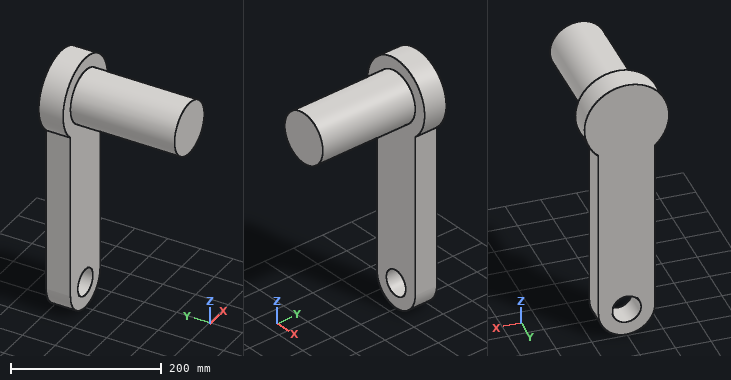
import cadquery as cq

total_height = 393.5
total_depth = 196.5
head_diameter = 119.0
arm_width = 79.5
arm_thickness = 37.5
pin_diameter = arm_width
hole_diameter = 40.0

hole_distance = total_height - head_diameter / 2 - arm_width / 2
pin_length = total_depth - arm_thickness


def cylinder_along_y(diameter, length, z=0.0):
    """Cylinder from Y = 0; positive lengths run toward -Y."""
    return cq.Workplane("XZ").center(0, z).circle(diameter / 2).extrude(length)


head = cylinder_along_y(head_diameter, -arm_thickness)
rounded_end = cylinder_along_y(arm_width, -arm_thickness, -hole_distance)
shank = (
    cq.Workplane("XZ")
    .center(0, -hole_distance / 2)
    .rect(arm_width, hole_distance)
    .extrude(-arm_thickness)
)
arm = head.union(shank).union(rounded_end)

hole = cylinder_along_y(hole_diameter, -arm_thickness, -hole_distance)

pin = cylinder_along_y(pin_diameter, pin_length)

result = arm.cut(hole).union(pin)